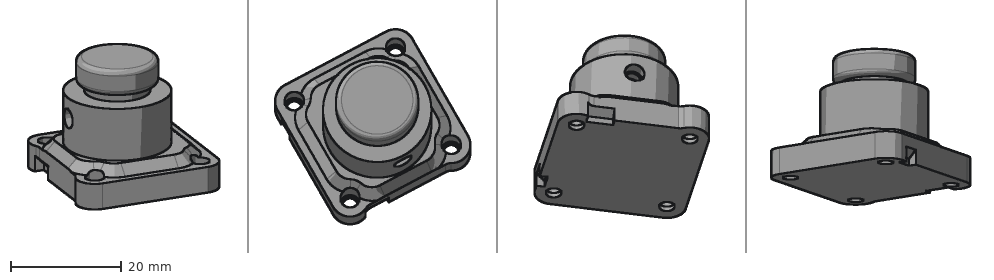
import cadquery as cq
import math

FLANGE_SIDE = 28.0
FLANGE_THICKNESS = 4.98
CORNER_RADIUS = 3.5
FRONT_RELIEF = 0.7
RELIEF_BLEND_RADIUS = 2.0
HALF_SIDE = FLANGE_SIDE / 2
FRONT_Y = FRONT_RELIEF - HALF_SIDE

MOUNT_OFFSET = HALF_SIDE - CORNER_RADIUS
MOUNT_HOLE_DIAMETER = 2.8
MOUNT_BORE_DIAMETER = 3.5
MOUNT_FLOOR_Z = 1.0

PAD_HEIGHT = 2.0
PAD_TOP_Z = FLANGE_THICKNESS + PAD_HEIGHT
PAD_HALF_WIDTH = 10.5
PAD_FRONT_REACH = 11.5
PAD_CORNER_RADIUS = 3.0

AXIS_X = 0.17
AXIS_Y = -1.37
BARREL_DIAMETER = 19.7
BARREL_TOP_Z = 17.0

NECK_DIAMETER = 12.0
CAP_DIAMETER = 15.0
CAP_BOTTOM_Z = 18.5
BUTTON_TOP_Z = 23.5
CAP_FILLET = 1.0
STEM_BOTTOM_Z = PAD_TOP_Z

SIDE_HOLE_Z = 13.0
SIDE_HOLE_DIAMETER = 3.6
SIDE_HOLE_DEPTH = 2.18
SIDE_TIP_DIAMETER = 2.8

NOTCH_START = 5.0
NOTCH_WALL_HEIGHT = 1.3
FRONT_NOTCH_DEPTH = 1.4
FRONT_NOTCH_WIDTH = 4.98
SIDE_NOTCH_DEPTH = 1.48
SIDE_NOTCH_WIDTH = 3.0


def cylinder(diameter, z_bottom, z_top, x=AXIS_X, y=AXIS_Y):
    return (
        cq.Workplane("XY", origin=(x, y, z_bottom))
        .circle(diameter / 2)
        .extrude(z_top - z_bottom)
    )


def polar_point(centre_x, centre_y, radius, angle):
    return (centre_x + radius * math.cos(angle), centre_y + radius * math.sin(angle))


def flange_block(height):
    """Rounded square whose front side is set back between two corner lobes."""
    blend_y = FRONT_Y - RELIEF_BLEND_RADIUS
    centre_gap = CORNER_RADIUS + RELIEF_BLEND_RADIUS
    blend_x = MOUNT_OFFSET - math.sqrt(centre_gap ** 2 - (blend_y + MOUNT_OFFSET) ** 2)
    touch_angle = math.atan2(blend_y + MOUNT_OFFSET, blend_x - MOUNT_OFFSET)

    def lobe_point(angle):
        return polar_point(MOUNT_OFFSET, -MOUNT_OFFSET, CORNER_RADIUS, angle)

    lobe_end = lobe_point(touch_angle)
    lobe_middle = lobe_point(touch_angle / 2)
    blend_start = touch_angle + math.pi
    blend_angle = (blend_start + math.pi / 2) / 2
    blend_middle = polar_point(blend_x, blend_y, RELIEF_BLEND_RADIUS, blend_angle)
    back_middle = polar_point(MOUNT_OFFSET, MOUNT_OFFSET, CORNER_RADIUS, math.pi / 4)

    def opposite(point):
        return (-point[0], point[1])

    return (
        cq.Workplane("XY")
        .moveTo(-MOUNT_OFFSET, HALF_SIDE)
        .lineTo(MOUNT_OFFSET, HALF_SIDE)
        .threePointArc(back_middle, (HALF_SIDE, MOUNT_OFFSET))
        .lineTo(HALF_SIDE, -MOUNT_OFFSET)
        .threePointArc(lobe_middle, lobe_end)
        .threePointArc(blend_middle, (blend_x, FRONT_Y))
        .lineTo(-blend_x, FRONT_Y)
        .threePointArc(opposite(blend_middle), opposite(lobe_end))
        .threePointArc(opposite(lobe_middle), (-HALF_SIDE, -MOUNT_OFFSET))
        .lineTo(-HALF_SIDE, MOUNT_OFFSET)
        .threePointArc(opposite(back_middle), (-MOUNT_OFFSET, HALF_SIDE))
        .close()
        .extrude(height)
    )


def pad_corner(x_sign, y_sign, y_reach, growth):
    """Points along one pad corner, from the side edge round to the front or back edge.

    Two convex arcs flank a concave arc that is centred on the mounting hole.
    """
    convex = PAD_CORNER_RADIUS + growth
    concave = PAD_CORNER_RADIUS - growth
    centre_gap = convex + concave
    side_x = PAD_HALF_WIDTH - PAD_CORNER_RADIUS
    side_y = MOUNT_OFFSET - math.sqrt(centre_gap ** 2 - (MOUNT_OFFSET - side_x) ** 2)
    end_y = y_reach - PAD_CORNER_RADIUS
    end_x = MOUNT_OFFSET - math.sqrt(centre_gap ** 2 - (MOUNT_OFFSET - end_y) ** 2)
    side_angle = math.atan2(MOUNT_OFFSET - side_y, MOUNT_OFFSET - side_x)
    end_angle = math.atan2(MOUNT_OFFSET - end_y, MOUNT_OFFSET - end_x)

    def on_arc(centre_x, centre_y, radius, angle):
        x, y = polar_point(centre_x, centre_y, radius, angle)
        return (x_sign * x, y_sign * y)

    return [
        on_arc(side_x, side_y, convex, 0),
        on_arc(side_x, side_y, convex, side_angle / 2),
        on_arc(side_x, side_y, convex, side_angle),
        on_arc(MOUNT_OFFSET, MOUNT_OFFSET, -concave, (side_angle + end_angle) / 2),
        on_arc(end_x, end_y, convex, end_angle),
        on_arc(end_x, end_y, convex, (end_angle + math.pi / 2) / 2),
        on_arc(end_x, end_y, convex, math.pi / 2),
    ]


def pad_outline(z, growth):
    """Pad outline at height z, grown outwards from the top face outline."""
    back_right = pad_corner(1, 1, PAD_HALF_WIDTH, growth)
    back_left = pad_corner(-1, 1, PAD_HALF_WIDTH, growth)[::-1]
    front_left = pad_corner(-1, -1, PAD_FRONT_REACH, growth)
    front_right = pad_corner(1, -1, PAD_FRONT_REACH, growth)[::-1]
    outline = cq.Workplane("XY", origin=(0, 0, z)).moveTo(*front_right[-1])
    for corner in (back_right, back_left, front_left, front_right):
        outline = outline.lineTo(*corner[0])
        for arc in range(3):
            outline = outline.threePointArc(corner[2 * arc + 1], corner[2 * arc + 2])
    return outline.wire().val()


def pad():
    bottom = pad_outline(FLANGE_THICKNESS, PAD_HEIGHT)
    top = pad_outline(PAD_TOP_Z, 0)
    return cq.Workplane(cq.Solid.makeLoft([bottom, top], True))


def notch(width, depth):
    """Notch cutter along +X from the origin, cutting towards +Y from the face at Y = 0.

    The roof slopes at 45 degrees and runs on past the face.
    """
    return (
        cq.Workplane("YZ")
        .moveTo(depth, 0)
        .lineTo(depth, NOTCH_WALL_HEIGHT)
        .lineTo(-depth, NOTCH_WALL_HEIGHT + 2 * depth)
        .lineTo(-depth, 0)
        .close()
        .extrude(width)
    )


def mounting_holes():
    """Counterbored hole cutters, one at each flange corner."""
    cutters = []
    for x in (-MOUNT_OFFSET, MOUNT_OFFSET):
        for y in (-MOUNT_OFFSET, MOUNT_OFFSET):
            hole = cylinder(MOUNT_HOLE_DIAMETER, 0, MOUNT_FLOOR_Z, x, y)
            bore = cylinder(MOUNT_BORE_DIAMETER, MOUNT_FLOOR_Z, PAD_TOP_Z, x, y)
            cutters.append(hole.union(bore))
    return cutters


def pry_notches():
    """Notch cutters for the front face and the left face of the flange."""
    front_notch = notch(FRONT_NOTCH_WIDTH, FRONT_NOTCH_DEPTH)
    front_notch = front_notch.translate((NOTCH_START - HALF_SIDE, FRONT_Y, 0))
    side_notch = (
        notch(SIDE_NOTCH_WIDTH, SIDE_NOTCH_DEPTH)
        .rotate((0, 0, 0), (0, 0, 1), -90)
        .translate((-HALF_SIDE, HALF_SIDE - NOTCH_START, 0))
    )
    return [front_notch, side_notch]


def side_hole():
    """Stepped hole cutter from the button axis out through the front of the barrel."""
    barrel_radius = BARREL_DIAMETER / 2
    axis_plane = cq.Workplane("XZ", origin=(AXIS_X, AXIS_Y, SIDE_HOLE_Z))
    tip = axis_plane.circle(SIDE_TIP_DIAMETER / 2).extrude(barrel_radius)
    entry = (
        axis_plane.workplane(offset=barrel_radius - SIDE_HOLE_DEPTH)
        .circle(SIDE_HOLE_DIAMETER / 2)
        .extrude(SIDE_HOLE_DEPTH)
    )
    return tip.union(entry)


def stem():
    """Plain shaft of the button, which also shapes its bore in the barrel."""
    return cylinder(NECK_DIAMETER, STEM_BOTTOM_Z, CAP_BOTTOM_Z)


def make_housing():
    trimmed_pad = pad().intersect(flange_block(PAD_TOP_Z))
    barrel = cylinder(BARREL_DIAMETER, FLANGE_THICKNESS, BARREL_TOP_Z)
    body = flange_block(FLANGE_THICKNESS).union(trimmed_pad).union(barrel)
    for cutter in [*mounting_holes(), *pry_notches(), stem(), side_hole()]:
        body = body.cut(cutter)
    return body


def make_button():
    cap = cylinder(CAP_DIAMETER, CAP_BOTTOM_Z, BUTTON_TOP_Z).edges().fillet(CAP_FILLET)
    return cap.union(stem())


housing = make_housing()
button = make_button()
result = cq.Compound.makeCompound([housing.solids().val(), button.solids().val()])